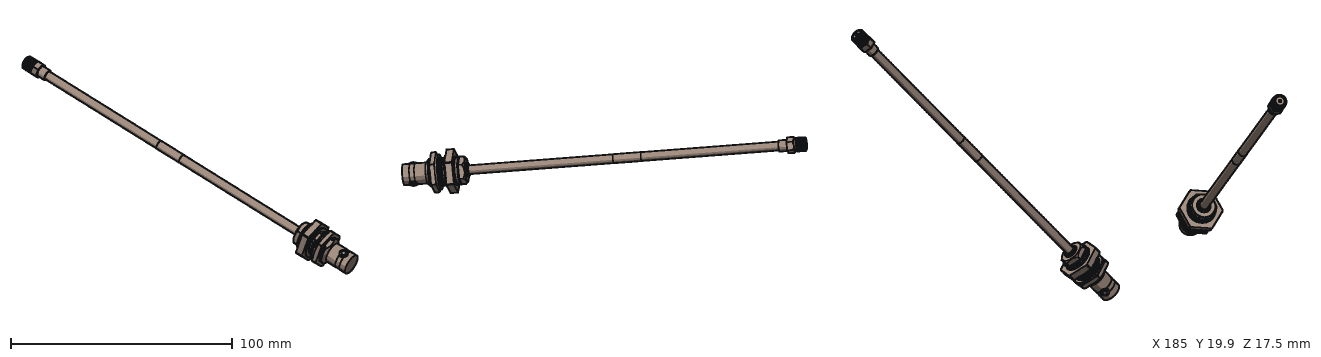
import cadquery as cq
import math


total_length = 184.97

cable_radius = 2.05
marker_radius = 2.1
marker_start = 75.7
marker_end = 88.5

sma_thread_radius = 3.175
sma_thread_pitch = 0.706
sma_thread_depth = 0.35
sma_thread_end = 4.1
sma_tip_chamfer = 0.45
sma_neck_radius = 2.6
sma_hex_start = 5.1
sma_hex_end = 8.35
sma_hex_flats = 6.4
sma_hex_chamfer = 0.5
sma_bore_radius = 2.1
sma_bore_depth = 4.0
sma_contact_radius = 0.65
sma_contact_bore_radius = 0.45
sma_contact_bore_depth = 2.5
ferrule_end = 12.3
ferrule_radius = 2.6

clamp_nut_start = 154.9
clamp_hex_start = 156.0
clamp_nut_end = 158.8
clamp_hex_flats = 11.0
clamp_collar_radius = 3.2
clamp_collar_chamfer = 0.6
clamp_hex_chamfer = 1.0

rear_rim_radius = 6.4
rear_rim_end = 159.3
rear_shank_radius = 6.1
rear_taper_start = 160.5
flange_start = 161.0
flange_end = 164.4
flange_flats = 17.5
flange_corner_diameter = 19.93
flange_face_radius = 7.5
flange_face_end = 165.1
undercut_radius = 5.8
undercut_end = 166.3
panel_thread_radius = 6.35
panel_thread_pitch = 0.9
panel_thread_depth = 0.5
panel_thread_end = 172.8
panel_flat_height = 5.4
barrel_start = 174.2
barrel_radius = 4.8

lug_center = 180.55
lug_radius = 1.15
lug_tip_height = 5.4
lug_boss_radius = 2.0
lug_boss_height = 4.9
band_width = 2.3
band_depth = 0.06

nut_start = 169.3
nut_end = 171.6
nut_flats = 16.0
nut_rear_chamfer = 0.4
nut_front_chamfer = 0.4
washer_hub_start = 167.4
washer_hub_radius = 6.7
washer_start = 168.3
washer_radius = 8.1


def turned(*stations):
    """Solid of revolution about X through (x, radius) stations, closed along the axis."""
    first_x = stations[0][0]
    last_x = stations[-1][0]
    outline = [(first_x, 0), *stations, (last_x, 0)]
    return cq.Workplane("XZ").polyline(outline).close().revolve(360, (0, 0, 0), (1, 0, 0))


def cylinder(start, end, radius):
    """Cylinder on the X axis."""
    return turned((start, radius), (end, radius))


def hexagon(start, end, across_flats):
    """Hexagonal prism on the X axis with two flats facing up and down."""
    corner_diameter = across_flats / math.cos(math.pi / 6)
    return cq.Workplane("YZ").workplane(offset=start).polygon(6, corner_diameter).extrude(end - start)


def chamfered_hexagon(start, end, across_flats, rear_chamfer, front_chamfer=0):
    """Hexagonal prism whose corners are turned back at 45 degrees at one or both ends."""
    corner_radius = across_flats / math.cos(math.pi / 6) / 2
    length = end - start
    rear_radius = corner_radius - rear_chamfer
    prism = hexagon(start, end, across_flats).intersect(
        turned((start, rear_radius), (end, rear_radius + length))
    )
    if front_chamfer:
        front_radius = corner_radius - front_chamfer
        prism = prism.intersect(turned((start, front_radius + length), (end, front_radius)))
    return prism


def cut_thread(body, start, end, radius, pitch, depth):
    """Cut a row of V-shaped ring grooves that stands for a thread."""
    for ring in range(int((end - start) / pitch)):
        left = start + ring * pitch
        groove = (
            cq.Workplane("XZ")
            .polyline([(left, radius), (left + pitch / 2, radius - depth), (left + pitch, radius)])
            .close()
            .revolve(360, (0, 0, 0), (1, 0, 0))
        )
        body = body.cut(groove)
    return body


def make_sma_body():
    barrel = turned(
        (0, sma_thread_radius - sma_tip_chamfer),
        (sma_tip_chamfer, sma_thread_radius),
        (sma_thread_end, sma_thread_radius),
        (sma_thread_end, sma_neck_radius),
        (sma_hex_start, sma_neck_radius),
    )
    barrel = cut_thread(
        barrel, sma_tip_chamfer, sma_thread_end, sma_thread_radius, sma_thread_pitch, sma_thread_depth
    )
    wrench_hex = chamfered_hexagon(sma_hex_start, sma_hex_end, sma_hex_flats, sma_hex_chamfer)
    bore = cylinder(0, sma_bore_depth, sma_bore_radius)
    return barrel.union(wrench_hex).cut(bore)


def make_sma_dielectric():
    contact_hole = cylinder(0, sma_bore_depth, sma_contact_radius)
    return cylinder(0, sma_bore_depth, sma_bore_radius).cut(contact_hole)


def make_sma_contact():
    socket = cylinder(0, sma_contact_bore_depth, sma_contact_bore_radius)
    return cylinder(0, sma_bore_depth, sma_contact_radius).cut(socket)


def make_ferrule():
    return cylinder(sma_hex_end, ferrule_end, ferrule_radius).cut(
        cylinder(sma_hex_end, ferrule_end, cable_radius)
    )


def make_cable():
    return cylinder(sma_hex_end, clamp_nut_end, cable_radius)


def make_marker_sleeve():
    sleeve = cylinder(marker_start, marker_end, marker_radius)
    return sleeve.cut(cylinder(marker_start, marker_end, cable_radius)).rotate((0, 0, 0), (1, 0, 0), 90)


def make_clamp_nut():
    collar = turned(
        (clamp_nut_start, clamp_collar_radius - clamp_collar_chamfer),
        (clamp_nut_start + clamp_collar_chamfer, clamp_collar_radius),
        (clamp_hex_start, clamp_collar_radius),
    )
    wrench_hex = chamfered_hexagon(clamp_hex_start, clamp_nut_end, clamp_hex_flats, clamp_hex_chamfer)
    return collar.union(wrench_hex).cut(cylinder(clamp_nut_start, clamp_nut_end, cable_radius))


def panel_thread():
    """Threaded stretch in front of the flange, flattened on top."""
    thread = turned(
        (flange_face_end, undercut_radius),
        (undercut_end, undercut_radius),
        (undercut_end, panel_thread_radius),
        (panel_thread_end, panel_thread_radius),
        (barrel_start, barrel_radius),
    )
    thread = cut_thread(
        thread, undercut_end, panel_thread_end, panel_thread_radius, panel_thread_pitch, panel_thread_depth
    )
    width = 2 * panel_thread_radius
    length = barrel_start - flange_face_end
    above_flat = cq.Workplane("XY").box(length, width, width, centered=(False, True, False))
    return thread.cut(above_flat.translate((flange_face_end, 0, panel_flat_height)))


def bayonet_barrel():
    """Plain barrel with a shallow band and two opposite lugs on small round bosses."""
    band_start = lug_center - band_width / 2
    band_end = lug_center + band_width / 2
    barrel = turned(
        (barrel_start, barrel_radius),
        (band_start, barrel_radius),
        (band_start, barrel_radius - band_depth),
        (band_end, barrel_radius - band_depth),
        (band_end, barrel_radius),
        (total_length, barrel_radius),
    )
    for radius, height in ((lug_boss_radius, lug_boss_height), (lug_radius, lug_tip_height)):
        crossbar = cq.Workplane("XY").center(lug_center, 0).circle(radius).extrude(height, both=True)
        barrel = barrel.union(crossbar)
    return barrel


def make_bnc_body():
    rear = turned(
        (clamp_nut_end, rear_rim_radius),
        (rear_rim_end, rear_rim_radius),
        (rear_rim_end, rear_shank_radius),
        (rear_taper_start, rear_shank_radius),
        (flange_start, rear_shank_radius + flange_start - rear_taper_start),
    )
    flange = hexagon(flange_start, flange_end, flange_flats).intersect(
        cylinder(flange_start, flange_end, flange_corner_diameter / 2)
    )
    flange_face = cylinder(flange_end, flange_face_end, flange_face_radius)
    return rear.union(flange).union(flange_face).union(panel_thread()).union(bayonet_barrel())


def panel_hole(start, end):
    """Cutter for a smooth hole around the panel thread."""
    return cylinder(start, end, panel_thread_radius)


def make_lock_washer():
    """Flat washer with a low round hub on its rear face."""
    washer = turned(
        (washer_hub_start, washer_hub_radius),
        (washer_start, washer_hub_radius),
        (washer_start, washer_radius),
        (nut_start, washer_radius),
    )
    return washer.cut(panel_hole(washer_hub_start, nut_start))


def make_panel_nut():
    nut = chamfered_hexagon(nut_start, nut_end, nut_flats, nut_rear_chamfer, nut_front_chamfer)
    return nut.cut(panel_hole(nut_start, nut_end))


sma_body = make_sma_body()
sma_dielectric = make_sma_dielectric()
sma_contact = make_sma_contact()
ferrule = make_ferrule()
cable = make_cable()
marker_sleeve = make_marker_sleeve()
clamp_nut = make_clamp_nut()
bnc_body = make_bnc_body()
lock_washer = make_lock_washer()
panel_nut = make_panel_nut()

result = cq.Compound.makeCompound(
    [
        sma_body.val(),
        sma_dielectric.val(),
        sma_contact.val(),
        ferrule.val(),
        cable.val(),
        marker_sleeve.val(),
        clamp_nut.val(),
        bnc_body.val(),
        lock_washer.val(),
        panel_nut.val(),
    ]
)